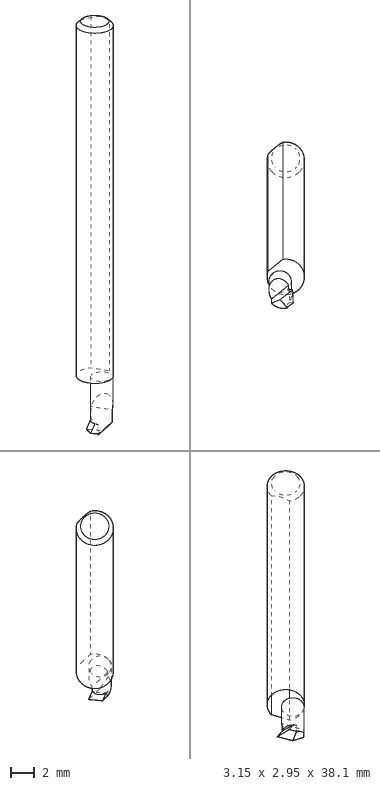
import cadquery as cq

total_length = 38.1
shank_diameter = 3.15
shank_radius = shank_diameter / 2
shank_depth = 2.95
shank_chamfer = 0.4
neck_length = 5.1
neck_radius = 0.95
neck_x = shank_radius - neck_radius

head_height = 1.05
tip_x = -0.75
side_clearance = 0.7
bottom_clearance = 0.1
edge_rise = 0.08
nose_height = edge_rise + neck_radius
rake_end = 2.17


def make_shank():
    """Round shank, chamfered at the top, with a full-length flat on +Y."""
    shank_length = total_length - neck_length
    shank = (
        cq.Workplane("XY", origin=(0, 0, neck_length))
        .circle(shank_radius)
        .extrude(shank_length)
        .faces(">Z")
        .chamfer(shank_chamfer)
    )
    envelope = (
        cq.Workplane("XY", origin=(0, -shank_radius, neck_length))
        .rect(shank_diameter, shank_depth * 2)
        .extrude(shank_length)
    )
    return shank.intersect(envelope)


def make_neck():
    """Round neck with the space for the head, the nose bevel and the cutting face removed."""
    neck = cq.Workplane("XY").center(neck_x, 0).circle(neck_radius).extrude(neck_length)

    side_profile = (
        cq.Workplane("XZ")
        .moveTo(neck_x - neck_radius, neck_length)
        .lineTo(neck_x - neck_radius, head_height)
        .lineTo(neck_x, head_height)
        .lineTo(neck_x, edge_rise)
        .lineTo(shank_radius, nose_height)
        .lineTo(shank_radius, neck_length)
        .close()
        .extrude(neck_radius, both=True)
    )

    rake_clearance = (
        cq.Workplane("YZ")
        .polyline([(0, 0), (neck_radius, 0), (neck_radius, rake_end + neck_radius), (0, rake_end)])
        .close()
        .extrude(shank_radius, both=True)
    )
    return neck.intersect(side_profile).cut(rake_clearance)


def head_section(y, side_lean, bottom_rise):
    """Closed outline of the head at one Y, keeping its side edge parallel at every depth."""
    side_slope = (neck_x - neck_radius - tip_x) / head_height
    corners = [
        (tip_x + side_lean + side_slope * bottom_rise, bottom_rise),
        (neck_x, edge_rise + bottom_rise),
        (neck_x, head_height),
        (neck_x - neck_radius + side_lean, head_height),
    ]
    return cq.Wire.makePolygon([cq.Vector(x, y, z) for x, z in corners], close=True)


def make_head():
    """Cutting head, relieved at its side and bottom behind the cutting face."""
    front_face = head_section(0, 0, 0)
    back_face = head_section(-neck_radius, side_clearance, bottom_clearance)
    return cq.Workplane(cq.Solid.makeLoft([front_face, back_face], True))


result = make_shank().union(make_neck()).union(make_head())